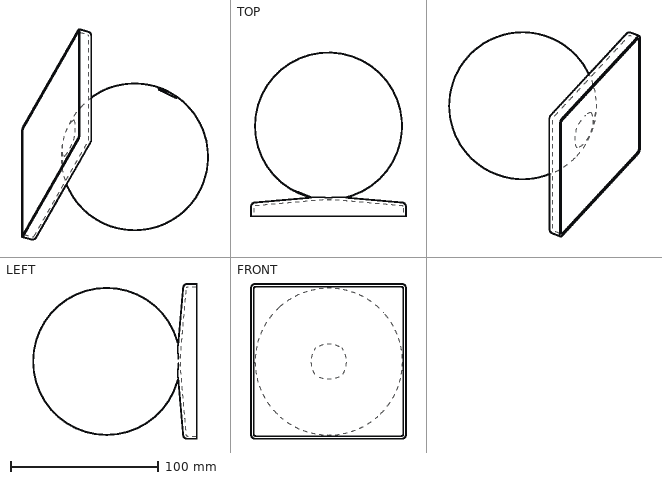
import cadquery as cq
import math

cap_side = 105.5
total_depth = 111.5
ball_diameter = 100.1
eave_depth = 9.3
roof_slope = 5.0
wall = 2.0
outer_radius = 3.0

slope = math.radians(roof_slope)
ball_radius = ball_diameter / 2
ball_centre_y = total_depth - ball_radius
inner_side = cap_side - 2 * wall
inner_radius = outer_radius - wall
inner_eave_depth = eave_depth + wall * math.tan(slope) - wall / math.cos(slope)


def roofed_block(side, eave, radius):
    """Square block rising along +Y from y = 0, with a pyramid roof and rounded corners and eaves."""
    half = side / 2
    apex = cq.Vector(0, eave + half * math.tan(slope), 0)
    corners_xz = [(-half, -half), (half, -half), (half, half), (-half, half)]
    rim = [cq.Vector(x, 0, z) for x, z in corners_xz]
    eaves = [cq.Vector(x, eave, z) for x, z in corners_xz]

    def flat_face(*points):
        return cq.Face.makeFromWires(cq.Wire.makePolygon(points, close=True))

    faces = [flat_face(*rim)]
    for i in range(4):
        j = (i + 1) % 4
        faces.append(flat_face(rim[i], rim[j], eaves[j], eaves[i]))
        faces.append(flat_face(eaves[i], eaves[j], apex))
    block = cq.Workplane(cq.Solid.makeSolid(cq.Shell.makeShell(faces)).fix())

    corner_edges = block.edges("|Y")
    eave_edges = block.edges("|X or |Z").edges(">Y")
    return corner_edges.add(eave_edges).fillet(radius)


cap = roofed_block(cap_side, eave_depth, outer_radius)
cavity = roofed_block(inner_side, inner_eave_depth, inner_radius)

ball = cq.Workplane("XY").sphere(ball_radius).translate((0, ball_centre_y, 0))

result = cap.cut(cavity).union(ball)